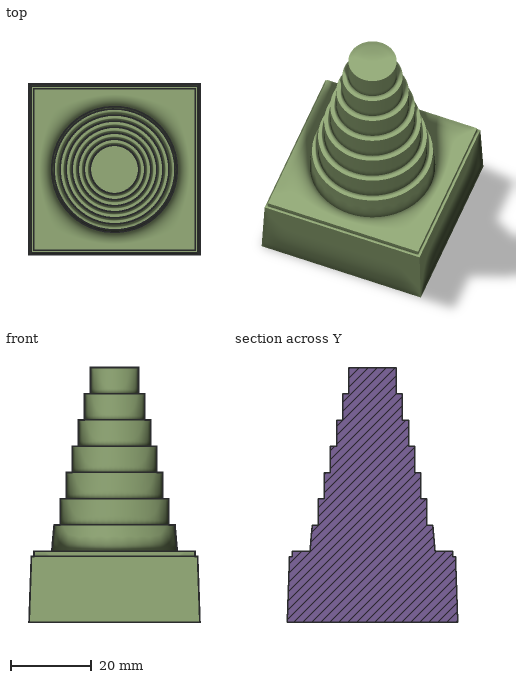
import cadquery as cq
import math

base_width = 42.41
base_height = 16.4
base_draft = 2.0
pad_width = 40.0
pad_height = 1.3
pad_top = base_height + pad_height

tier_height = 6.5
tier_count = 6
diameter_step = 3.0
foot_top_diameter = 30.0
foot_draft = 5.0


def make_base():
    """Drafted block, widest at the bottom, with its square pad."""
    block = cq.Workplane("XY").rect(base_width, base_width).extrude(base_height, taper=base_draft)
    return block.faces(">Z").workplane().rect(pad_width, pad_width).extrude(pad_height)


def make_foot():
    """Cone that stands on the pad and carries the tiers."""
    top_radius = foot_top_diameter / 2
    bottom_radius = top_radius + tier_height * math.tan(math.radians(foot_draft))
    foot_profile = cq.Workplane("XY", origin=(0, 0, pad_top)).circle(bottom_radius)
    return foot_profile.extrude(tier_height, taper=foot_draft)


def make_tier(level):
    """Cylinder number `level`, counted upward from the foot (1 is the widest)."""
    diameter = foot_top_diameter - level * diameter_step
    bottom = pad_top + level * tier_height
    return cq.Workplane("XY", origin=(0, 0, bottom)).circle(diameter / 2).extrude(tier_height)


result = make_base().union(make_foot())
for level in range(1, tier_count + 1):
    result = result.union(make_tier(level))